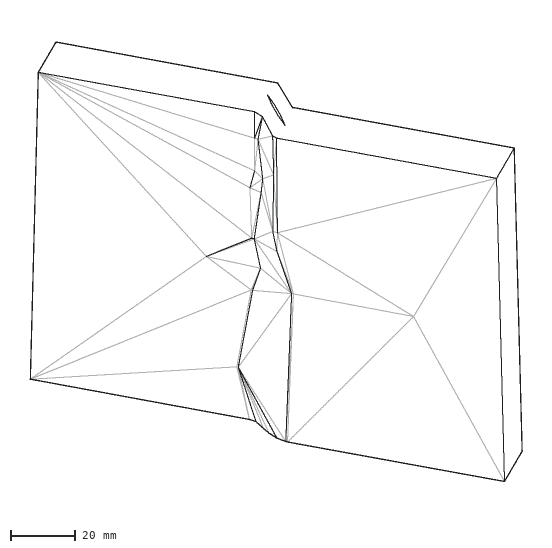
import cadquery as cq
import math

height = 113.1
base_width = 158.28
top_width = 154.2
overall_depth = 32.83
plate_thickness = 18.25
lean = 1.75

z_top = height / 2
z_base = -height / 2
z_middle = 0.0

slit_length = 18.0
slit_width = 0.9
slit_depth = 10.0
slit_angle = -55.0

top_y = overall_depth / 2
base_y = top_y - lean
left_back_edge = [
    (-top_width / 2, top_y, z_top),
    (-base_width / 2, base_y, z_base),
]
left_front_edge = [(x, y - plate_thickness, z) for x, y, z in left_back_edge]
right_front_edge = [(-x, -y, z) for x, y, z in left_back_edge]
right_back_edge = [(-x, -y, z) for x, y, z in left_front_edge]

front_brow = [
    (-6.2, -2.9, z_top),
    (-6.0, -3.3, 47.0),
    (-5.9, -3.6, 35.1),
    (-7.5, -3.4, 28.4),
    (-7.0, -3.2, 9.7),
    (-21.8, -3.2, z_middle),
    (-7.0, -3.7, -9.2),
    (-11.4, -4.6, -38.0),
    (-7.2, -4.9, z_base),
]
front_shoulder = [
    (-2.95, -4.9, z_top),
    (-4.8, -3.6, 47.0),
    (-2.9, -4.8, 33.5),
    (-3.5, -4.5, 28.1),
    (-6.1, -3.4, 9.7),
    (-3.7, -4.5, z_middle),
    (-6.5, -3.8, -9.2),
    (-10.9, -4.7, -38.0),
    (-4.9, -5.4, z_base),
]
front_toe = [
    (3.4, -14.4, z_top),
    (3.8, -14.6, 42.3),
    (3.6, -14.9, 21.5),
    (5.0, -15.0, 14.4),
    (9.9, -15.4, z_middle),
    (7.4, -13.5, z_base),
]
front_apron = [
    (4.9, -15.2, z_top),
    (5.2, -15.2, 21.5),
    (10.5, -15.4, z_middle),
    (8.0, -13.6, z_base),
]
base_scoop = [
    (-1.35, -8.6, z_base),
    (1.0, -10.5, z_base),
    (4.2, -12.5, z_base),
]
front_swell = [right_front_edge[0], (50.0, -16.4, z_middle), right_front_edge[1]]
back_swell = [(-x, -y, z) for x, y, z in front_swell]

back_shoulder = [(-4.3, 15.0, z_top), (-6.8, 13.2, z_base)]
back_toe = [(4.3, 3.1, z_top), (5.2, 4.1, z_base)]


def polygon_face(points):
    return cq.Face.makeFromWires(cq.Wire.makePolygon([cq.Vector(*p) for p in points], close=True))


def segment_height(crease, index):
    """Twice the mean Z of one segment of a crease; below everything past the last one."""
    if index == len(crease) - 1:
        return -math.inf
    return crease[index][2] + crease[index + 1][2]


def strip(left, right):
    """Triangles between two creases that both run from top to base, higher segments first."""
    faces = []
    i = 0
    j = 0
    while i < len(left) - 1 or j < len(right) - 1:
        if segment_height(left, i) >= segment_height(right, j):
            corners = [left[i], left[i + 1], right[j]]
            i += 1
        else:
            corners = [left[i], right[j + 1], right[j]]
            j += 1
        if len(set(corners)) == len(corners):
            faces.append(polygon_face(corners))
    return faces


def strips(creases):
    faces = []
    for left, right in zip(creases, creases[1:]):
        faces += strip(left, right)
    return faces


def front_wall():
    """Steep wall, with the facets at its foot fanning out to the scooped base edge."""
    upper = strip(front_shoulder[:-1], front_toe)
    apex = front_shoulder[-2]
    base_edge = [front_shoulder[-1]] + base_scoop + [front_toe[-1]]
    fan = [polygon_face([apex, a, b]) for a, b in zip(base_edge, base_edge[1:])]
    return upper + fan


def body():
    left_creases = [left_front_edge, front_brow, front_shoulder]
    right_creases = [front_toe, front_apron, front_swell, right_front_edge]
    back_creases = [right_back_edge, back_toe, back_shoulder, back_swell, left_back_edge]
    faces = strips(left_creases) + front_wall() + strips(right_creases) + strips(back_creases)

    faces.append(polygon_face(left_front_edge + left_back_edge[::-1]))
    faces.append(polygon_face(right_front_edge + right_back_edge[::-1]))

    right_outline = [front_toe, front_apron, right_front_edge]
    back_outline = [right_back_edge, back_toe, back_shoulder, left_back_edge]
    rest_of_outline = right_outline + back_outline
    faces.append(polygon_face([crease[0] for crease in left_creases + rest_of_outline]))
    base_left = [crease[-1] for crease in left_creases]
    base_rest = [crease[-1] for crease in rest_of_outline]
    faces.append(polygon_face(base_left + base_scoop + base_rest))
    return cq.Workplane(obj=cq.Solid.makeSolid(cq.Shell.makeShell(faces)))


def slit():
    """Lens-shaped cutter made of two shallow arcs."""
    half_length = slit_length / 2
    half_width = slit_width / 2
    return (
        cq.Workplane("XY")
        .moveTo(-half_length, 0)
        .threePointArc((0, half_width), (half_length, 0))
        .threePointArc((0, -half_width), (-half_length, 0))
        .close()
        .extrude(-slit_depth)
        .rotate((0, 0, 0), (0, 0, 1), slit_angle)
        .translate((0, 0, z_top))
    )


result = body().cut(slit())